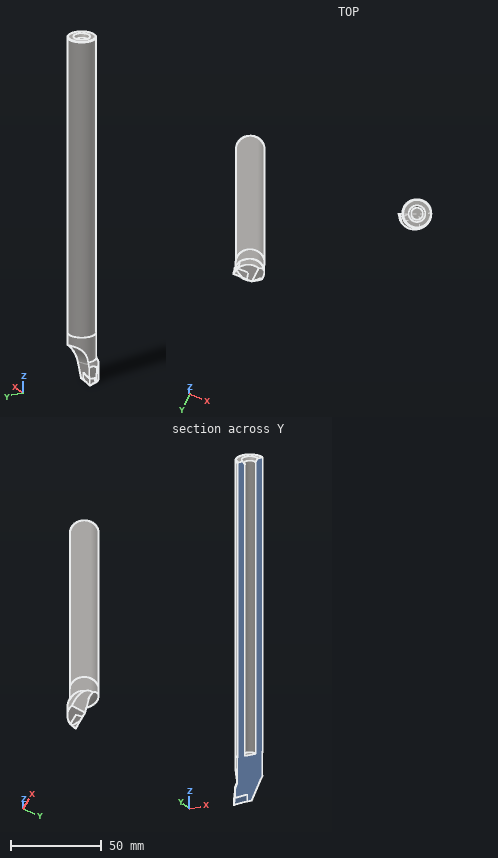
import cadquery as cq
import math

total_length = 204.5
shank_diameter = 16.0
shank_radius = shank_diameter / 2
end_chamfer = 0.5

bore_diameter = 6.5
bore_mouth_diameter = 9.2
bore_mouth_depth = 2.0

collar_top = 28.2
collar_bottom = 13.0
collar_radius = shank_radius
collar_offset_x = -0.2

head_radius = 9.0
head_center_x = -1.2
head_center_y = 0.2
neck_drop_per_radius = 2.2
neck_cone_height = 6.1

heel_bottom_x = 0.8
heel_top_x = collar_offset_x + collar_radius
heel_top_z = 14.1
head_bottom_z = 0.5
bottom_relief_angle = 4
side_face_x = -10.0
side_relief_angle = 12
side_lean_angle = 3

flute_radius = 12.3
flute_runout_z = 10.0
flute_tilt = 13

insert_tip_x = -10.2
insert_length = 8.2
insert_height = 4.0
insert_thickness = 3.7
insert_relief_angle = 12
insert_side_lean = 0.2
insert_bottom_rise = 0.6

cutter_size = 61.3


def half_space(origin, normal, x_direction):
    """Large block lying on the normal side of a plane."""
    plane = cq.Plane(origin=origin, xDir=x_direction, normal=normal)
    return cq.Workplane(plane).rect(cutter_size, cutter_size).extrude(cutter_size)


def make_shank():
    shank = (
        cq.Workplane("XY", origin=(0, 0, collar_top))
        .circle(shank_radius)
        .extrude(total_length - collar_top)
        .faces(">Z")
        .chamfer(end_chamfer)
    )
    bore = (
        cq.Workplane("XY", origin=(0, 0, collar_top))
        .circle(bore_diameter / 2)
        .extrude(total_length - collar_top)
    )
    mouth = cq.Workplane("XY").add(
        cq.Solid.makeCone(
            bore_mouth_diameter / 2,
            bore_diameter / 2,
            bore_mouth_depth,
            pnt=cq.Vector(0, 0, total_length),
            dir=cq.Vector(0, 0, -1),
        )
    )
    return shank.cut(bore).cut(mouth)


def make_collar():
    return (
        cq.Workplane("XY", origin=(collar_offset_x, 0, collar_bottom))
        .circle(collar_radius)
        .extrude(collar_top - collar_bottom)
    )


def make_head():
    cylinder = (
        cq.Workplane("XY", origin=(head_center_x, head_center_y, 0))
        .circle(head_radius)
        .extrude(collar_bottom)
    )
    cone_bottom = collar_bottom - neck_cone_height
    wide_radius = collar_radius + neck_cone_height / neck_drop_per_radius
    neck_envelope = (
        cq.Workplane("XZ", origin=(collar_offset_x, 0, 0))
        .polyline(
            [
                (0, 0),
                (wide_radius, 0),
                (wide_radius, cone_bottom),
                (collar_radius, collar_bottom),
                (0, collar_bottom),
            ]
        )
        .close()
        .revolve(360, (0, 0, 0), (0, 1, 0))
    )
    head = cylinder.intersect(neck_envelope)

    side_normal = (
        -1,
        -math.tan(math.radians(side_relief_angle)),
        math.tan(math.radians(side_lean_angle)),
    )
    bottom_normal = (0, -math.tan(math.radians(bottom_relief_angle)), -1)
    head = head.cut(half_space((side_face_x, 0, 0), side_normal, (0, side_normal[2], -side_normal[1])))
    return head.cut(half_space((0, 0, head_bottom_z), bottom_normal, (1, 0, 0)))


def make_heel_cutter():
    """Region beyond the sloped heel on the +X side of the head."""
    slope = (heel_top_x - heel_bottom_x, 0, heel_top_z)
    normal = (slope[2], 0, -slope[0])
    return half_space((heel_bottom_x, 0, 0), normal, (0, 1, 0))


def make_flute_cutter():
    """Straight-sided slot at Y > 0 ending in an arc tangent to the flat face."""
    arc_middle = flute_radius * math.sqrt(0.5)
    return (
        cq.Workplane("YZ", origin=(-cutter_size / 2, 0, flute_runout_z))
        .moveTo(0, -cutter_size)
        .lineTo(0, 0)
        .threePointArc((flute_radius - arc_middle, arc_middle), (flute_radius, flute_radius))
        .lineTo(cutter_size, flute_radius)
        .lineTo(cutter_size, -cutter_size)
        .close()
        .extrude(cutter_size)
        .rotate((0, 0, flute_runout_z), (0, 1, flute_runout_z), flute_tilt)
    )


def make_insert():
    return (
        cq.Workplane("XZ")
        .polyline(
            [
                (insert_tip_x, 0),
                (insert_tip_x + insert_length, insert_bottom_rise),
                (insert_tip_x + insert_length, insert_height + insert_bottom_rise),
                (insert_tip_x + insert_side_lean, insert_height),
            ]
        )
        .close()
        .extrude(insert_thickness, taper=insert_relief_angle)
    )


def make_bar(insert):
    bar = make_shank().union(make_collar()).union(make_head())
    return bar.cut(make_heel_cutter()).cut(make_flute_cutter()).cut(insert)


insert = make_insert()
bar = make_bar(insert)

result = cq.Compound.makeCompound([*bar.solids().vals(), insert.val()])